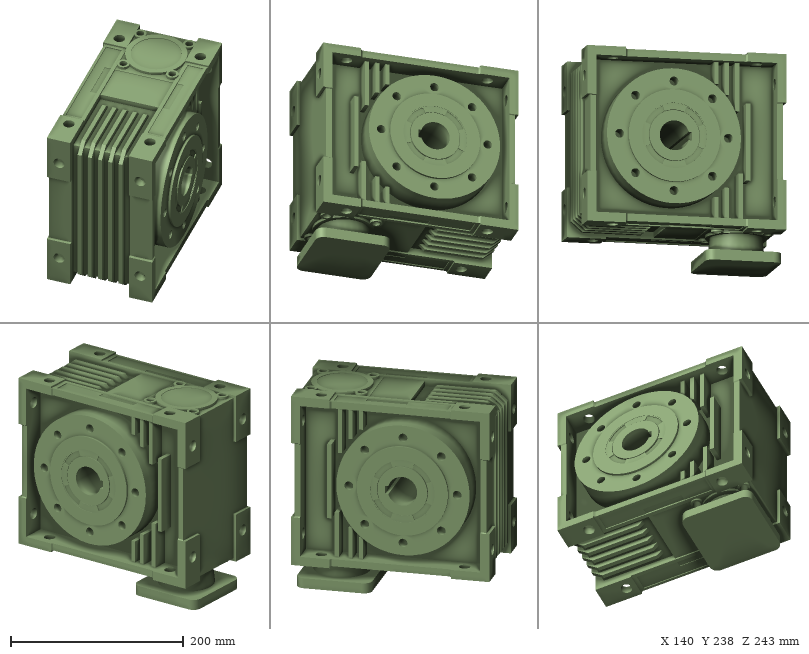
import cadquery as cq
import math


overall_height = 243.0
overall_width = 140.0
half_height = 104.0
front_y = -103.0
back_y = 134.9
worm_y = 90.0
bore_z = 0.7

core_half_width = 36.2
frame_half_width = 65.1
frame_wall = 11.0
pad_length_y = 46.2
pad_gap_z = 91.4
web_inset_y = 4.0
web_inset_z = 2.2
beam_inset_x = 1.7
beam_ramp = 2.0
post_inset_x = 1.2
post_ramp = 1.0
panel_x = (40.8, 60.3)
panel_y = (-51.8, 84.8)
panel_depth = 1.2
mount_hole_diameter = 13.4
mount_hole_x = 50.0
mount_hole_z = 69.7
mount_hole_y = (-69.5, 102.0)

head_top = 100.5
label_floor = 99.9
label_length = 49.0
label_half_width = 48.5

rib_count = 5
rib_pitch = 12.6
rib_width = 4.9
rib_top = 99.6
rib_front_y = -101.5
rib_start_y = -10.5
rib_chamfer_y = 13.9
rib_chamfer_z = 12.0

cover_radius = 36.2
cover_recess_radius = 29.6
cover_recess_depth = 0.7
lug_count = 4
lug_circle_radius = 42.5
lug_radius = 7.3
lug_hole_diameter = 9.2
lug_hole_depth = 14.5
lug_turn = 0.9

flange_radius = 80.0
flange_face_x = 67.0
spigot_radius = 54.7
flange_bolt_circle = 65.0
flange_hole_diameter = 10.5
flange_hole_depth = 19.5
flange_hole_count = 8
seal_radius = 38.6
seal_recess = 0.5
slot_count = 4
slot_radius = 37.5
slot_depth = 1.2
slot_angle = 45.0
hub_radius = 30.0
hub_gap = 0.7
hub_gap_depth = 2.5
bore_diameter = 35.2
key_width = 10.0
key_reach = 20.7

motor_flange_side = 90.0
motor_flange_thickness = 12.5
motor_flange_corner = 10.0
neck_top_radius = 30.9
neck_bottom_radius = 33.3

inner_half_height = half_height - frame_wall
inner_front_y = front_y + frame_wall
inner_back_y = back_y - frame_wall
web_half_height = half_height - web_inset_z
web_front_y = front_y + web_inset_y
web_back_y = back_y - web_inset_y
spigot_face_x = overall_width / 2
motor_flange_bottom = half_height - overall_height

pocket_rib_width = 5.0
pocket_rib_height = 19.0
pocket_ribs = [
    (78.5, 35.7, inner_half_height),
    (65.9, 54.2, inner_half_height),
    (53.5, 66.8, inner_half_height),
    (91.4, -46.0, 45.5),
    (82.4, -inner_half_height, -38.0),
    (65.9, -inner_half_height, -55.5),
    (53.5, -inner_half_height, -66.8),
]


def block(x_range, y_range, z_range):
    """Box between the given limits."""
    size = [high - low for low, high in (x_range, y_range, z_range)]
    corner = (x_range[0], y_range[0], z_range[0])
    return cq.Workplane("XY").box(*size, centered=False).translate(corner)


def x_disc(radius, x_start, x_end):
    """Disc on the bore axis between two X positions."""
    return cq.Workplane("YZ", origin=(x_start, 0, bore_z)).circle(radius).extrude(x_end - x_start)


def both_ends(upper):
    """Add the mirror image of a feature about the horizontal mid plane."""
    return upper.union(upper.mirror("XY"))


def both_sides(left):
    """Add the mirror image of a feature about the plane between the two sides."""
    return left.union(left.mirror("YZ"))


def make_core():
    core_x = (-core_half_width, core_half_width)
    body = block(core_x, (inner_front_y, web_back_y), (-inner_half_height, inner_half_height))
    head = block(core_x, (0, web_back_y), (-head_top, head_top))
    return body.union(head).cut(make_label_recess(core_x))


def make_label_recess(x_range):
    """Cutter for the shallow label recess within the given X limits."""
    return both_ends(block(x_range, (0, label_length), (label_floor, half_height)))


def make_ribs():
    rise = rib_top - inner_half_height
    upper_outline = [
        (0, 0),
        (0, inner_half_height),
        (rib_start_y, inner_half_height),
        (rib_start_y - rise, rib_top),
        (rib_front_y + rib_chamfer_y, rib_top),
        (rib_front_y, rib_top - rib_chamfer_z),
        (rib_front_y, 0),
    ]
    rib = both_ends(cq.Workplane("YZ").polyline(upper_outline).close().extrude(rib_width / 2, both=True))
    ribs = cq.Workplane("XY")
    for index in range(rib_count):
        ribs = ribs.add(rib.translate(((index - (rib_count - 1) / 2) * rib_pitch, 0, 0)))
    return ribs.combine()


def web_outline(plane, start, end, inset, ramp):
    """Plan of a web on the -X side, sloping down from the pad at each end."""
    x_pad = -frame_half_width
    x_web = x_pad + inset
    x_inner = -core_half_width
    points = [
        (x_inner, start),
        (x_pad, start),
        (x_web, start + ramp),
        (x_web, end - ramp),
        (x_pad, end),
        (x_inner, end),
    ]
    return cq.Workplane(plane).polyline(points).close()


def make_side_frame():
    """Open frame on the -X side with a thicker pad at each corner."""
    frame_x = (-frame_half_width, -core_half_width)
    gap_y = (front_y + pad_length_y, back_y - pad_length_y)
    gap_z = (bore_z - pad_gap_z / 2, bore_z + pad_gap_z / 2)

    beams = web_outline("XY", *gap_y, beam_inset_x, beam_ramp).extrude(web_half_height, both=True)
    posts = web_outline("XZ", *gap_z, post_inset_x, post_ramp).extrude(web_back_y - web_front_y)
    frame = beams.union(posts.translate((0, web_back_y, 0)))
    for y_range in ((front_y, gap_y[0]), (gap_y[1], back_y)):
        for z_range in ((-half_height, gap_z[0]), (gap_z[1], half_height)):
            frame = frame.union(block(frame_x, y_range, z_range))
    frame = frame.cut(block(frame_x, (inner_front_y, inner_back_y), (-inner_half_height, inner_half_height)))

    panel = block((-panel_x[1], -panel_x[0]), panel_y, (web_half_height - panel_depth, half_height))
    upright_points = [(-mount_hole_x, y) for y in mount_hole_y]
    upright_holes = (
        cq.Workplane("XY")
        .pushPoints(upright_points)
        .circle(mount_hole_diameter / 2)
        .extrude(half_height, both=True)
    )
    level_points = [(-mount_hole_x, z) for z in (bore_z - mount_hole_z, bore_z + mount_hole_z)]
    level_holes = (
        cq.Workplane("XZ")
        .pushPoints(level_points)
        .circle(mount_hole_diameter / 2)
        .extrude(back_y, both=True)
    )
    label = make_label_recess((-label_half_width, -panel_x[0]))
    return frame.cut(both_ends(panel)).cut(label).cut(upright_holes).cut(level_holes)


def make_pocket_ribs():
    ribs = cq.Workplane("XY")
    rib_x = (-core_half_width - pocket_rib_height, -core_half_width)
    for y_centre, z_low, z_high in pocket_ribs:
        rib_y = (y_centre - pocket_rib_width / 2, y_centre + pocket_rib_width / 2)
        ribs = ribs.add(block(rib_x, rib_y, (z_low, z_high)))
    return ribs.combine()


def make_bearing_cover():
    """Round cover with four screw lugs on top of the core."""
    thickness = half_height - head_top
    base = cq.Workplane("XY", origin=(0, worm_y, head_top))
    lug_points = base.polarArray(lug_circle_radius, 45 + lug_turn, 360, lug_count)
    lugs = lug_points.circle(lug_radius).extrude(thickness)
    recess = base.workplane(offset=thickness).circle(cover_recess_radius).extrude(-cover_recess_depth)
    return base.circle(cover_radius).extrude(thickness).union(lugs).cut(recess)


def make_lug_holes():
    top = cq.Workplane("XY", origin=(0, worm_y, half_height))
    points = top.polarArray(lug_circle_radius, 45 + lug_turn, 360, lug_count)
    return points.circle(lug_hole_diameter / 2).extrude(-lug_hole_depth)


def make_seal_slots():
    """Four shallow arc slots around the hub on the -X face."""
    slot_floor = seal_recess + slot_depth
    face_x = -spigot_face_x
    ring = x_disc(slot_radius, face_x, face_x + slot_floor).cut(
        x_disc(hub_radius, face_x, face_x + slot_floor)
    )
    reach = spigot_radius
    half_span = reach * math.tan(math.radians(slot_angle / 2))
    wedge = (
        cq.Workplane("YZ", origin=(face_x, 0, bore_z))
        .polyline([(0, 0), (reach, half_span), (reach, -half_span)])
        .close()
        .extrude(slot_floor)
    )
    wedges = cq.Workplane("XY")
    for index in range(slot_count):
        wedges = wedges.add(wedge.rotate((0, 0, bore_z), (1, 0, bore_z), 45 + index * 360 / slot_count))
    return ring.intersect(wedges.combine())


def make_output_flange():
    """Bolting flange with a centring spigot on the -X side."""
    face_x = -spigot_face_x
    flange = x_disc(flange_radius, -flange_face_x, -core_half_width)
    flange = flange.union(x_disc(spigot_radius, face_x, -flange_face_x))
    bolt_holes = (
        cq.Workplane("YZ", origin=(-flange_face_x, 0, bore_z))
        .polarArray(flange_bolt_circle, 0, 360, flange_hole_count)
        .circle(flange_hole_diameter / 2)
        .extrude(flange_hole_depth)
    )
    seal = x_disc(seal_radius, face_x, face_x + seal_recess)
    seal = seal.cut(x_disc(hub_radius, face_x, face_x + seal_recess))
    gap = x_disc(hub_radius + hub_gap, face_x, face_x + hub_gap_depth)
    gap = gap.cut(x_disc(hub_radius, face_x, face_x + hub_gap_depth))
    return flange.cut(bolt_holes).cut(seal).cut(gap).cut(make_seal_slots())


def make_bore():
    bore = x_disc(bore_diameter / 2, -spigot_face_x, spigot_face_x)
    key_z = (bore_z - key_width / 2, bore_z + key_width / 2)
    keyway = block((-spigot_face_x, spigot_face_x), (0, key_reach), key_z)
    return bore.union(keyway)


def make_motor_flange():
    """Square flange on a tapered neck below the worm."""
    flange = (
        cq.Workplane("XY", origin=(0, worm_y, motor_flange_bottom))
        .rect(motor_flange_side, motor_flange_side)
        .extrude(motor_flange_thickness)
        .edges("|Z")
        .fillet(motor_flange_corner)
    )
    neck_height = -half_height - motor_flange_bottom - motor_flange_thickness
    neck = (
        cq.Workplane("XY", origin=(0, worm_y, -half_height))
        .circle(neck_top_radius)
        .workplane(offset=-neck_height)
        .circle(neck_bottom_radius)
        .loft()
    )
    return flange.union(neck)


result = (
    make_core()
    .union(make_ribs())
    .union(both_sides(make_side_frame()))
    .union(both_sides(make_pocket_ribs()))
    .union(both_ends(make_bearing_cover()))
    .cut(both_ends(make_lug_holes()))
    .union(both_sides(make_output_flange()))
    .union(make_motor_flange())
    .cut(make_bore())
)